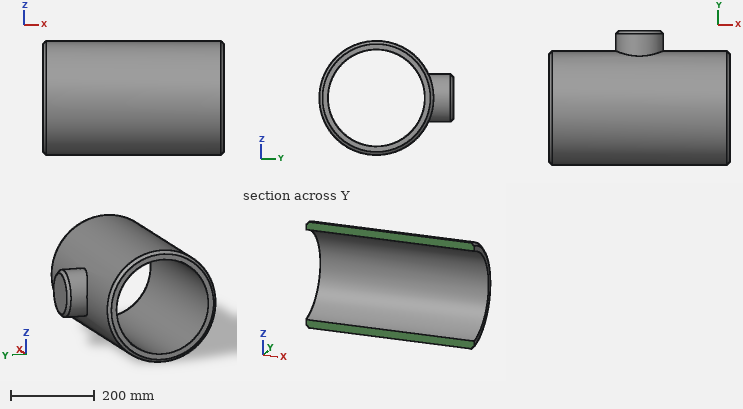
import cadquery as cq

run_length = 432.0
run_diameter = 273.0
run_bore = 230.5

branch_diameter = 114.5
branch_reach = 184.5

end_bevel = 7.8


def run_cylinder(diameter):
    return cq.Workplane("YZ").circle(diameter / 2).extrude(run_length / 2, both=True)


def branch_cylinder(diameter):
    return cq.Workplane("XZ").circle(diameter / 2).extrude(-branch_reach)


run = run_cylinder(run_diameter).faces("<X or >X").edges().chamfer(end_bevel)
branch = branch_cylinder(branch_diameter).faces(">Y").edges().chamfer(end_bevel)

result = run.union(branch).cut(run_cylinder(run_bore))